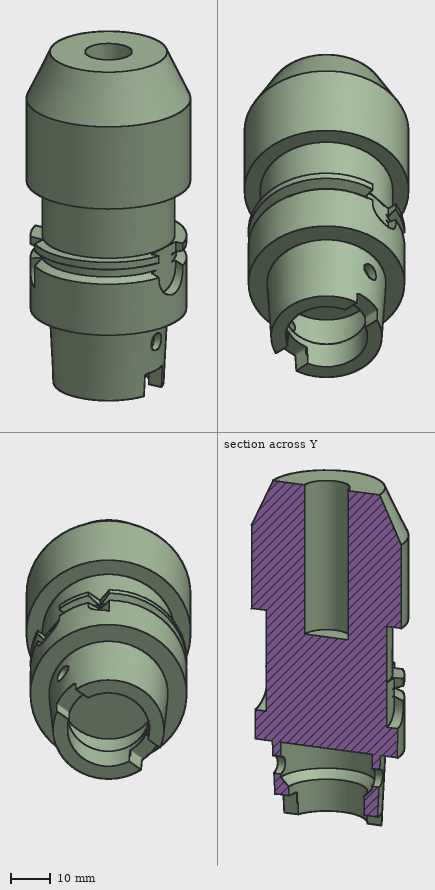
import cadquery as cq

total_length = 90.0
shank_length = 20.1
flange_top = 40.0
head_bottom = 54.9
cone_bottom = 77.3

shank_end_diameter = 28.35
shank_root_diameter = 30.4
flange_diameter = 40.0
neck_diameter = 33.9
head_diameter = 42.0
tip_diameter = 30.0

groove_center = 36.0
groove_floor_width = 2.0
groove_mouth_width = 4.05
groove_diameter = 34.7

bore_diameter = 12.0
bore_depth = 40.0

hollow_mouth_diameter = 21.0
hollow_diameter = 25.5
hollow_mouth_height = 8.55
hollow_depth = shank_length

slot_bottom = 28.0
narrow_slot_width = 9.0
wide_slot_width = 11.0
drive_slot_floor = neck_diameter / 2
notch_corner = 12.1

cross_hole_diameter = 4.6
cross_hole_height = 13.95
keyway_width = 7.9
keyway_height = 3.5
tall_keyway_height = 6.0
tall_keyway_floor = 9.9
keyway_corner_radius = 0.5

clearance = 1.8
outer_reach = head_diameter / 2 + clearance


def make_turned_body():
    """Revolve the stepped half profile about Z."""
    flange_radius = flange_diameter / 2
    neck_radius = neck_diameter / 2
    groove_radius = groove_diameter / 2
    head_radius = head_diameter / 2
    profile = [
        (0, 0),
        (shank_end_diameter / 2, 0),
        (shank_root_diameter / 2, shank_length),
        (flange_radius, shank_length),
        (flange_radius, groove_center - groove_mouth_width / 2),
        (groove_radius, groove_center - groove_floor_width / 2),
        (groove_radius, groove_center + groove_floor_width / 2),
        (flange_radius, groove_center + groove_mouth_width / 2),
        (flange_radius, flange_top),
        (neck_radius, flange_top),
        (neck_radius, head_bottom),
        (head_radius, head_bottom),
        (head_radius, cone_bottom),
        (tip_diameter / 2, total_length),
        (0, total_length),
    ]
    return cq.Workplane("XZ").polyline(profile).close().revolve(360, (0, 0), (0, 1))


def make_tool_bore():
    """Blind cylinder entering from the tip."""
    bore = cq.Workplane("XY").workplane(offset=total_length - bore_depth)
    return bore.circle(bore_diameter / 2).extrude(bore_depth)


def make_shank_hollow():
    """Blind hollow that widens above its mouth through a 45 degree cone."""
    mouth_radius = hollow_mouth_diameter / 2
    hollow_radius = hollow_diameter / 2
    cone_top = hollow_mouth_height + hollow_radius - mouth_radius
    profile = [
        (0, 0),
        (mouth_radius, 0),
        (mouth_radius, hollow_mouth_height),
        (hollow_radius, cone_top),
        (hollow_radius, hollow_depth),
        (0, hollow_depth),
    ]
    return cq.Workplane("XZ").polyline(profile).close().revolve(360, (0, 0), (0, 1))


def make_flange_slot(width, floor, center_y, direction):
    """U-shaped cutter open at the flange top, running outward along X from its flat floor."""
    radius = width / 2
    arc_center = slot_bottom + radius
    return (
        cq.Workplane("YZ", origin=(direction * floor, center_y, 0))
        .moveTo(-radius, flange_top)
        .lineTo(-radius, arc_center)
        .threePointArc((0, slot_bottom), (radius, arc_center))
        .lineTo(radius, flange_top)
        .close()
        .extrude(direction * (outer_reach - floor))
    )


def make_keyway(height, start_x, end_x):
    """Slot along X open at the shank end, with rounded roof corners."""
    return (
        cq.Workplane("XY")
        .box(end_x - start_x, keyway_width, height + clearance, centered=(False, True, False))
        .translate((start_x, 0, -clearance))
        .edges("|X and >Z")
        .fillet(keyway_corner_radius)
    )


def make_cross_hole():
    """Round hole through the shank along X."""
    hole = cq.Workplane("YZ", origin=(-outer_reach, 0, cross_hole_height))
    return hole.circle(cross_hole_diameter / 2).extrude(2 * outer_reach)


notch_center_y = -(notch_corner + narrow_slot_width / 2)

result = (
    make_turned_body()
    .cut(make_tool_bore())
    .cut(make_shank_hollow())
    .cut(make_flange_slot(narrow_slot_width, drive_slot_floor, 0, -1))
    .cut(make_flange_slot(wide_slot_width, drive_slot_floor, 0, 1))
    .cut(make_flange_slot(narrow_slot_width, notch_corner, notch_center_y, -1))
    .cut(make_keyway(keyway_height, -outer_reach, outer_reach))
    .cut(make_keyway(tall_keyway_height, tall_keyway_floor, outer_reach))
    .cut(make_cross_hole())
)